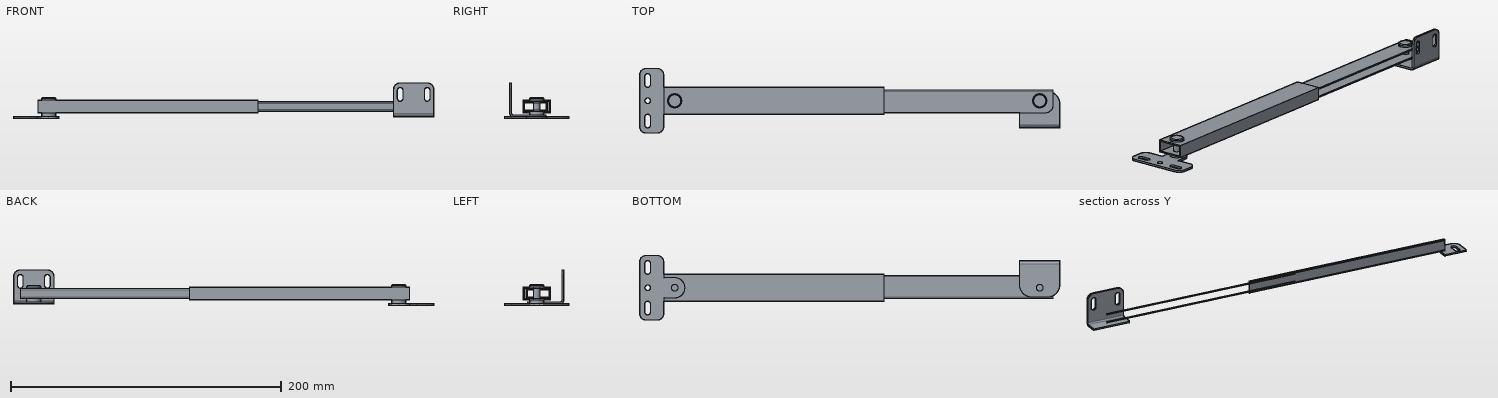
import cadquery as cq


screw_slot_width = 4.0
screw_slot_length = 10.0
screw_slot_angle = 90

plate_thickness = 1.5
plate_width = 18.0
plate_length = 48.0
plate_corner_radius = 5.0
plate_hole_x = 6.0
plate_slot_y = 15.0
tongue_width = 15.0

tube_start = plate_width
tube_length = 163.0
tube_width = 20.0
tube_height = 9.5
tube_wall = 1.0
tube_bottom = 4.25
tube_top = tube_bottom + tube_height

channel_end = 306.0
channel_length = tube_length
channel_back_y = 8.0
channel_width = 17.0
channel_wall = 1.0
channel_bend_radius = channel_wall
channel_corner_radius = 6.0
channel_start = channel_end - channel_length
channel_bottom = tube_bottom + tube_wall
channel_top = tube_top - tube_wall
channel_front_y = channel_back_y - channel_width

bracket_width = 30.0
bracket_end = 311.0
bracket_top = 26.5
bracket_bottom = 1.25
bracket_sheet = 1.5
bracket_front_y = -20.0
bracket_back_y = 7.0
bracket_bend_radius = 2.5
bracket_foot_corner_radius = 9.5
bracket_upright_corner_radius = 5.0
bracket_slot_spacing = 20.0
bracket_slot_z = 18.0
bracket_center_x = bracket_end - bracket_width / 2

plate_pivot_x = 26.0
bracket_pivot_x = bracket_center_x
shank_diameter = 5.0
head_diameter = 10.5
head_height = 2.0
head_chamfer = 0.75


def pivot_bore(x):
    """Full-height cylinder that opens the shank hole at a pivot."""
    return cq.Workplane("XY").center(x, 0).circle(shank_diameter / 2).extrude(bracket_top)


def make_plate():
    """T-shaped plate with a round-ended tongue under the tube, two slots and a round hole."""
    bar = (
        cq.Workplane("XY")
        .center(plate_width / 2, 0)
        .rect(plate_width, plate_length)
        .extrude(plate_thickness)
        .edges("|Z")
        .fillet(plate_corner_radius)
    )
    tongue_start = plate_width / 2
    tongue = (
        cq.Workplane("XY")
        .moveTo(tongue_start, -tongue_width / 2)
        .lineTo(plate_pivot_x, -tongue_width / 2)
        .threePointArc((plate_pivot_x + tongue_width / 2, 0), (plate_pivot_x, tongue_width / 2))
        .lineTo(tongue_start, tongue_width / 2)
        .close()
        .extrude(plate_thickness)
    )
    slots = (
        cq.Workplane("XY")
        .pushPoints([(plate_hole_x, -plate_slot_y), (plate_hole_x, plate_slot_y)])
        .slot2D(screw_slot_length, screw_slot_width, screw_slot_angle)
        .extrude(plate_thickness)
    )
    round_hole = (
        cq.Workplane("XY")
        .center(plate_hole_x, 0)
        .circle(screw_slot_width / 2)
        .extrude(plate_thickness)
    )
    return bar.union(tongue).cut(slots).cut(round_hole).cut(pivot_bore(plate_pivot_x))


def make_tube():
    """Rectangular tube, open at both ends."""
    return (
        cq.Workplane("YZ", origin=(tube_start, 0, tube_bottom + tube_height / 2))
        .rect(tube_width, tube_height)
        .rect(tube_width - 2 * tube_wall, tube_height - 2 * tube_wall)
        .extrude(tube_length)
        .cut(pivot_bore(plate_pivot_x))
    )


def make_channel():
    """U-channel with bent back edges and flange corners rounded at the bracket end."""
    height = channel_top - channel_bottom
    center_y = (channel_front_y + channel_back_y) / 2
    blank = (
        cq.Workplane("XY", origin=(channel_start, center_y, channel_bottom))
        .rect(channel_length, channel_width, centered=(False, True))
        .extrude(height)
        .edges("|X and >Y")
        .fillet(channel_bend_radius)
        .edges("|Z and >X and <Y")
        .fillet(channel_corner_radius)
    )
    inside = (
        cq.Workplane("XY", origin=(channel_start, center_y - channel_wall, channel_bottom + channel_wall))
        .rect(channel_length, channel_width, centered=(False, True))
        .extrude(height - 2 * channel_wall)
    )
    return blank.cut(inside).cut(pivot_bore(bracket_pivot_x))


def make_bracket():
    """Angle bracket: a foot under the channel and a slotted upright, joined by a bend."""
    profile = (
        cq.Workplane("YZ", origin=(bracket_end - bracket_width, 0, 0))
        .moveTo(bracket_back_y, bracket_bottom)
        .lineTo(bracket_front_y, bracket_bottom)
        .lineTo(bracket_front_y, bracket_top)
        .lineTo(bracket_front_y + bracket_sheet, bracket_top)
        .lineTo(bracket_front_y + bracket_sheet, bracket_bottom + bracket_sheet)
        .lineTo(bracket_back_y, bracket_bottom + bracket_sheet)
        .close()
        .extrude(bracket_width)
    )
    inner_bend = (bracket_center_x, bracket_front_y + bracket_sheet, bracket_bottom + bracket_sheet)
    bent = (
        profile.edges("|X and <Y and <Z")
        .fillet(bracket_bend_radius)
        .edges(cq.selectors.NearestToPointSelector(inner_bend))
        .fillet(bracket_bend_radius - bracket_sheet)
    )
    rounded = (
        bent.edges("|Z and >Y")
        .fillet(bracket_foot_corner_radius)
        .edges("|Y and >Z")
        .fillet(bracket_upright_corner_radius)
    )
    slots = (
        cq.Workplane("XZ", origin=(bracket_center_x, bracket_front_y + bracket_sheet, bracket_slot_z))
        .pushPoints([(-bracket_slot_spacing / 2, 0), (bracket_slot_spacing / 2, 0)])
        .slot2D(screw_slot_length, screw_slot_width, screw_slot_angle)
        .extrude(bracket_sheet)
    )
    return rounded.cut(slots).cut(pivot_bore(bracket_pivot_x))


def make_rivet(x, mount_bottom, mount_top, arm_bottom, arm_top):
    """Rivet flush with the mount's underside, with a spacer collar below the arm and a head above it."""
    shank = (
        cq.Workplane("XY", origin=(x, 0, mount_bottom))
        .circle(shank_diameter / 2)
        .extrude(arm_top - mount_bottom)
    )
    collar = (
        cq.Workplane("XY", origin=(x, 0, mount_top))
        .circle(head_diameter / 2)
        .extrude(arm_bottom - mount_top)
    )
    head = (
        cq.Workplane("XY", origin=(x, 0, arm_top))
        .circle(head_diameter / 2)
        .extrude(head_height)
        .faces(">Z")
        .chamfer(head_chamfer)
    )
    return shank.union(collar).union(head)


plate = make_plate()
tube = make_tube()
channel = make_channel()
bracket = make_bracket()
rivets = [
    make_rivet(plate_pivot_x, 0, plate_thickness, tube_bottom, tube_top),
    make_rivet(bracket_pivot_x, bracket_bottom, bracket_bottom + bracket_sheet, channel_bottom, channel_top),
]

bodies = [plate, tube, channel, bracket, *rivets]
result = cq.Compound.makeCompound([body.val() for body in bodies])